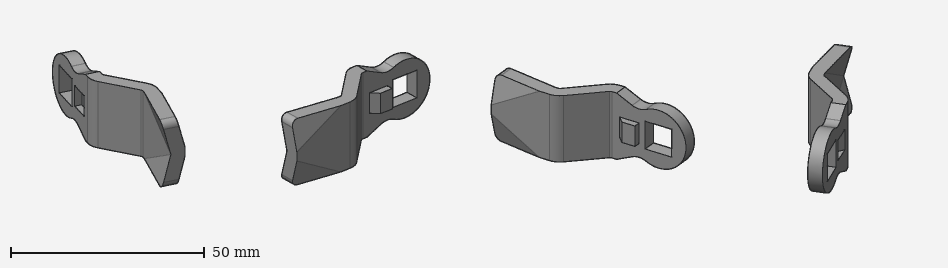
import cadquery as cq
import math

length = 53.5
height = 19.5
depth = 14.0
thickness = 4.0

hub_radius = 8.5
square_side = 8.15
neck_radius = 5.0
neck_center_x = 6.0
neck_flare_angle = 24.5

bend_angle = 44.0
bend_inner_radius = 1.0
bend_outer_radius = bend_inner_radius + thickness
first_bend_x = 14.25

fold_start_x = 27.8
fold_drop_angle = 17.0
back_fold_offset = 1.1
corner_radius = 2.0

tab_start_x = 5.95
tab_flat_length = 4.0
tab_height = 6.0
tab_offset = 2.0

end_x = length - hub_radius
half_height = height / 2

bend_rise = depth - 2 * bend_outer_radius
bend = math.radians(bend_angle)
bend_run = (bend_inner_radius + bend_outer_radius + bend_rise * math.cos(bend)) / math.sin(bend)
first_center = (first_bend_x, bend_outer_radius)
second_center = (first_bend_x + bend_run, depth - bend_outer_radius)

back_plane = cq.Workplane("XZ", origin=(0, depth, 0))


def make_outline():
    """Front outline of the lever, extruded through its whole depth."""
    flare = math.radians(neck_flare_angle)
    center_distance = hub_radius + neck_radius
    neck_center_z = math.sqrt(center_distance**2 - neck_center_x**2)
    hub_ratio = hub_radius / center_distance
    hub_tangent = (neck_center_x * hub_ratio, neck_center_z * hub_ratio)
    neck_low = (neck_center_x, neck_center_z - neck_radius)
    neck_end = (
        neck_center_x + neck_radius * math.sin(flare),
        neck_center_z - neck_radius * math.cos(flare),
    )
    flare_end_x = neck_end[0] + (half_height - neck_end[1]) / math.tan(flare)

    def below(point):
        return (point[0], -point[1])

    outline = (
        back_plane.moveTo(*below(hub_tangent))
        .threePointArc((-hub_radius, 0), hub_tangent)
        .threePointArc(neck_low, neck_end)
        .lineTo(flare_end_x, half_height)
        .lineTo(end_x, half_height)
        .lineTo(end_x, -half_height)
        .lineTo(flare_end_x, -half_height)
        .lineTo(*below(neck_end))
        .threePointArc(below(neck_low), below(hub_tangent))
        .close()
        .extrude(depth)
    )
    return outline.edges("|Y and >X").fillet(corner_radius)


def polar(center, radius, angle):
    return (
        center[0] + radius * math.cos(math.radians(angle)),
        center[1] + radius * math.sin(math.radians(angle)),
    )


def make_bent_strip():
    """Hub plate, slanted web and both bends, ending where the blade begins."""
    first_angles = (-90 + bend_angle / 2, -90 + bend_angle)
    second_angles = (90 + bend_angle / 2, 90 + bend_angle)
    return (
        cq.Workplane("XY", origin=(0, 0, -half_height))
        .moveTo(-hub_radius, 0)
        .lineTo(first_bend_x, 0)
        .threePointArc(*(polar(first_center, bend_outer_radius, a) for a in first_angles))
        .lineTo(*polar(second_center, bend_inner_radius, second_angles[1]))
        .threePointArc(
            polar(second_center, bend_inner_radius, second_angles[0]),
            polar(second_center, bend_inner_radius, 90),
        )
        .lineTo(second_center[0], depth)
        .threePointArc(*(polar(second_center, bend_outer_radius, a) for a in second_angles))
        .lineTo(*polar(first_center, bend_inner_radius, first_angles[1]))
        .threePointArc(
            polar(first_center, bend_inner_radius, first_angles[0]),
            polar(first_center, bend_inner_radius, -90),
        )
        .lineTo(-hub_radius, thickness)
        .close()
        .extrude(height)
    )


def make_blade():
    """Flat blade whose two outer corners fold forward along lines meeting at the end."""
    fold_length = end_x - fold_start_x
    reach = math.hypot(fold_length, half_height)
    drop = math.radians(fold_drop_angle)
    front_y = depth - thickness
    fold_plane = cq.Plane(
        origin=(end_x, 0, 0),
        xDir=(half_height, 0, fold_length),
        normal=(-fold_length, 0, half_height),
    )
    section = [
        (-reach, front_y),
        (0, front_y),
        (reach, front_y - reach * math.tan(drop)),
        (reach, depth - (reach - back_fold_offset) * math.tan(drop)),
        (back_fold_offset, depth),
        (-reach, depth),
    ]
    folded = (
        cq.Workplane(fold_plane)
        .polyline(section)
        .close()
        .extrude(2 * reach, both=True)
    )
    blade_length = end_x - second_center[0]
    upper_space = cq.Workplane("XY").box(blade_length, depth, half_height, centered=False)
    upper = folded.intersect(upper_space.translate((second_center[0], 0, 0)))
    return upper.union(upper.mirror("XY"))


def tab_block(front_y):
    """Tab profile with a sloping far end, reaching back from front_y by the tab offset."""
    slope_end_x = tab_start_x + tab_flat_length + tab_offset
    return (
        cq.Workplane("XY", origin=(0, front_y, -tab_height / 2))
        .moveTo(tab_start_x, 0)
        .lineTo(slope_end_x, 0)
        .lineTo(slope_end_x - tab_offset, tab_offset)
        .lineTo(tab_start_x, tab_offset)
        .close()
        .extrude(tab_height)
    )


square_hole = back_plane.rect(square_side, square_side).extrude(depth)

result = make_bent_strip().union(make_blade()).intersect(make_outline())
result = result.cut(square_hole).cut(tab_block(0)).union(tab_block(thickness))